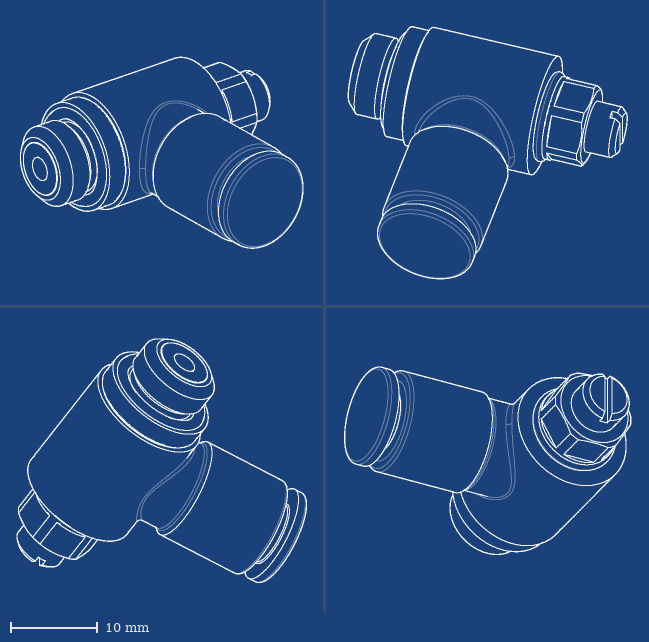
import cadquery as cq
import math


BARREL_RADIUS = 7.0
BARREL_TOP = 7.52
BARREL_BOTTOM = -7.45
SHANK_RADIUS = 4.57

BRANCH_NECK_RADIUS = 5.5
BRANCH_NECK_END = 8.8
BRANCH_RADIUS = 6.0
SHOULDER_START = 9.1
SHOULDER_START_RADIUS = 5.62
SHOULDER_END = 9.52
BRANCH_END = 19.95
BRANCH_ROUND = 0.32
LIP_OUTER_RADIUS = 4.75
LIP_INNER_RADIUS = 3.8
LIP_END = 20.2
JUNCTION_FILLET = 0.5

RING_NECK_RADIUS = 3.68
RING_FLARE = 0.15
RING_RADIUS = 5.78
RING_BACK = 21.45
RING_FRONT = 29.7 - BARREL_RADIUS
RING_ROUND = 0.32

STEM_BOTTOM = -15.05
BOSS_RADIUS = 3.17
BOSS_HEIGHT = 0.05
BORE_RADIUS = 1.38
BORE_DEPTH = 6.35
TIP_RADIUS = 3.75
THREAD_RADIUS = 4.8
THREAD_BOTTOM = -13.93
THREAD_TOP = -11.5
RELIEF_RADIUS = 4.2
RELIEF_BOTTOM = THREAD_TOP + THREAD_RADIUS - RELIEF_RADIUS

COLLAR_RADIUS = 6.5
COLLAR_BOTTOM = -9.95
COLLAR_TOP = -7.65
GAP_RADIUS = 6.35
SEAL_SECTION_RADIUS = 0.67
SEAL_MID_RADIUS = 5.25

BEAD_SECTION_RADIUS = 0.5
BEAD_MID_RADIUS = 4.8
BEAD_CENTER = 8.1
FLANGE_BOTTOM = 8.63
HEX_BOTTOM = 9.2
HEX_TOP = 13.15
HEX_FLATS = 8.98
HEX_CORNER_RADIUS = 4.9
HEX_CHAMFER_HEIGHT = 0.32
HEX_CHAMFER_ANGLE = 30
HEAD_RADIUS = 3.0
HEAD_TOP = STEM_BOTTOM + 31.75
HEAD_CHAMFER = 0.6
SLOT_WIDTH = 0.95
SLOT_DEPTH = 1.25


def cylinder_y(radius, bottom, top):
    """Solid cylinder on the Y axis."""
    base = cq.Workplane("XZ", origin=(0, bottom, 0))
    return base.circle(radius).extrude(bottom - top)


def revolve_y(profile):
    return profile.close().revolve(360, (0, 0, 0), (0, 1, 0))


def revolve_x(profile):
    return profile.close().revolve(360, (0, 0, 0), (1, 0, 0))


def make_branch():
    """Stepped branch tube, ending in a shallow conical lip."""
    profile = (
        cq.Workplane("XY")
        .lineTo(0, BRANCH_NECK_RADIUS)
        .lineTo(BRANCH_NECK_END, BRANCH_NECK_RADIUS)
        .tangentArcPoint((SHOULDER_START, SHOULDER_START_RADIUS), relative=False)
        .lineTo(SHOULDER_END, BRANCH_RADIUS)
        .lineTo(BRANCH_END - BRANCH_ROUND, BRANCH_RADIUS)
        .tangentArcPoint((BRANCH_END, BRANCH_RADIUS - BRANCH_ROUND), relative=False)
        .lineTo(BRANCH_END, LIP_OUTER_RADIUS)
        .lineTo(LIP_END, LIP_INNER_RADIUS)
        .lineTo(LIP_END, 0)
    )
    return revolve_x(profile)


def make_release_ring():
    """Neck and flange of the release ring, rounded on the outer rim."""
    profile = (
        cq.Workplane("XY")
        .moveTo(BRANCH_END, 0)
        .lineTo(BRANCH_END, RING_NECK_RADIUS)
        .lineTo(RING_BACK - RING_FLARE, RING_NECK_RADIUS)
        .lineTo(RING_BACK, RING_NECK_RADIUS + RING_FLARE)
        .lineTo(RING_BACK, RING_RADIUS)
        .lineTo(RING_FRONT - RING_ROUND, RING_RADIUS)
        .tangentArcPoint((RING_FRONT, RING_RADIUS - RING_ROUND), relative=False)
        .lineTo(RING_FRONT, 0)
    )
    return revolve_x(profile)


def make_housing():
    """Barrel and branch blended together, with a through bore for the stem."""
    barrel = cylinder_y(BARREL_RADIUS, BARREL_BOTTOM, BARREL_TOP)
    blended = barrel.union(make_branch())
    junction = blended.edges(
        cq.selectors.BoxSelector(
            (0.32, -BARREL_RADIUS, -BARREL_RADIUS),
            (BRANCH_NECK_END - 0.32, BARREL_RADIUS, BARREL_RADIUS),
            boundingbox=True,
        )
    )
    blended = junction.fillet(JUNCTION_FILLET)
    bore = cylinder_y(SHANK_RADIUS, BARREL_BOTTOM, BARREL_TOP)
    return blended.union(make_release_ring()).cut(bore)


def make_stem_lower():
    """Threaded end, relief groove, seal, collar and the shank in the barrel."""
    seal_outer = SEAL_MID_RADIUS + SEAL_SECTION_RADIUS
    seal_inner = SEAL_MID_RADIUS - SEAL_SECTION_RADIUS
    seal_tip = (SEAL_MID_RADIUS, COLLAR_BOTTOM - SEAL_SECTION_RADIUS)
    profile = (
        cq.Workplane("XY")
        .moveTo(0, STEM_BOTTOM)
        .lineTo(BOSS_RADIUS - BOSS_HEIGHT, STEM_BOTTOM)
        .lineTo(BOSS_RADIUS, STEM_BOTTOM + BOSS_HEIGHT)
        .lineTo(TIP_RADIUS, STEM_BOTTOM + BOSS_HEIGHT)
        .lineTo(THREAD_RADIUS, THREAD_BOTTOM)
        .lineTo(THREAD_RADIUS, THREAD_TOP)
        .lineTo(RELIEF_RADIUS, RELIEF_BOTTOM)
        .lineTo(RELIEF_RADIUS, COLLAR_BOTTOM)
        .lineTo(seal_inner, COLLAR_BOTTOM)
        .threePointArc(seal_tip, (seal_outer, COLLAR_BOTTOM))
        .lineTo(COLLAR_RADIUS, COLLAR_BOTTOM)
        .lineTo(COLLAR_RADIUS, COLLAR_TOP)
        .lineTo(GAP_RADIUS, COLLAR_TOP)
        .lineTo(GAP_RADIUS, BARREL_BOTTOM)
        .lineTo(SHANK_RADIUS, BARREL_BOTTOM)
        .lineTo(SHANK_RADIUS, FLANGE_BOTTOM)
        .lineTo(0, FLANGE_BOTTOM)
    )
    bore = cylinder_y(BORE_RADIUS, STEM_BOTTOM, STEM_BOTTOM + BORE_DEPTH)
    return revolve_y(profile).cut(bore)


def make_bead():
    """O-ring bead around the shank, just above the barrel."""
    section = cq.Workplane("XY").center(BEAD_MID_RADIUS, BEAD_CENTER).circle(BEAD_SECTION_RADIUS)
    return section.revolve(360, (-BEAD_MID_RADIUS, 0, 0), (-BEAD_MID_RADIUS, 1, 0))


def make_hexagon():
    """Hexagon with turned corners and a chamfered top, above a round flange."""
    chamfer_width = HEX_CHAMFER_HEIGHT / math.tan(math.radians(HEX_CHAMFER_ANGLE))
    turned = revolve_y(
        cq.Workplane("XY")
        .moveTo(0, HEX_BOTTOM)
        .lineTo(HEX_CORNER_RADIUS, HEX_BOTTOM)
        .lineTo(HEX_CORNER_RADIUS, HEX_TOP - HEX_CHAMFER_HEIGHT)
        .lineTo(HEX_CORNER_RADIUS - chamfer_width, HEX_TOP)
        .lineTo(0, HEX_TOP)
    )
    corner_diameter = HEX_FLATS / math.cos(math.radians(30))
    prism = (
        cq.Workplane("XZ", origin=(0, HEX_BOTTOM, 0))
        .polygon(6, corner_diameter)
        .extrude(HEX_BOTTOM - HEX_TOP)
    )
    flange = cylinder_y(HEX_CORNER_RADIUS, FLANGE_BOTTOM, HEX_BOTTOM)
    return turned.intersect(prism).union(flange)


def make_screw_head():
    """Chamfered screw head with a driver slot running along Z."""
    head = cylinder_y(HEAD_RADIUS, HEX_TOP, HEAD_TOP).faces(">Y").chamfer(HEAD_CHAMFER)
    slot = (
        cq.Workplane("XY")
        .box(SLOT_WIDTH, SLOT_DEPTH, 2 * HEAD_RADIUS)
        .translate((0, HEAD_TOP - SLOT_DEPTH / 2, 0))
    )
    return head.cut(slot)


def make_stem():
    lower = make_stem_lower().union(make_bead())
    return lower.union(make_hexagon()).union(make_screw_head())


housing = make_housing()
stem = make_stem()

result = cq.Compound.makeCompound([housing.solids().val(), stem.solids().val()])